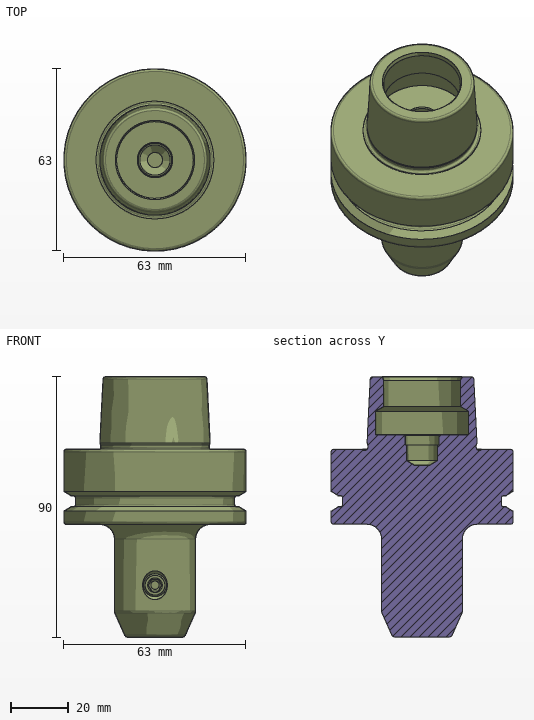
import cadquery as cq
import math

total_height = 90.0
flange_top = 65.0
flange_bottom = 39.0
groove_middle = 47.0
nose_shoulder = 8.7
screw_height = 18.0

taper_end = 67.1
taper_end_radius = 19.1
taper_slope = 0.05
neck_radius = 18.8
neck_top = 66.3
neck_fillet = 0.9
undercut_depth = 0.4
undercut_radius = 20.3

flange_radius = 31.5
groove_floor_radius = 27.5
groove_mouth_width = 6.8
groove_floor_width = 3.7
groove_side_radius = 29.0
groove_fillet = 0.6
rim_fillet = 0.9

nose_radius = 14.0
nose_fillet = 5.0
tip_radius = 10.2
shoulder_fillet = 2.0
tip_fillet = 1.4

bore_mouth_radius = 13.7
bore_radius = 13.2
bore_lead_depth = 1.3
bore_entry_depth = 10.35
bore_relief_radius = 16.0
bore_shoulder_angle = 30
bore_depth = 20.0

step_radius = 5.8
step_chamfer = 0.4
step_depth = 3.6
hole_radius = 5.2
hole_depth = 9.0
hole_end_radius = 2.6
drill_point_angle = 118

screw_radius = 4.0
screw_chamfer = 0.5
screw_recess = 0.2
countersink_radius = 4.95
socket_width = 4.0
socket_mouth_radius = 2.5
socket_depth = 4.5
socket_end_radius = 1.4

axis_start, axis_end = (0, 0, 0), (0, 1, 0)


def revolve_profile(points):
    """Spin a closed (radius, height) outline around the Z axis."""
    return cq.Workplane("XZ").polyline(points).close().revolve(360, axis_start, axis_end)


def round_circles(body, radius, height, fillet):
    """Round the circular edges of the given radius and height."""
    margin = 0.01
    corner = radius + margin
    box = cq.selectors.BoxSelector(
        (-corner, -corner, height - margin), (corner, corner, height + margin), boundingbox=True
    )
    return body.edges(box).edges(cq.selectors.RadiusNthSelector(-1)).fillet(fillet)


def make_body():
    taper_top_radius = taper_end_radius - taper_slope * (total_height - taper_end)
    undercut_floor = flange_top - undercut_depth
    mouth_half = groove_mouth_width / 2
    floor_half = groove_floor_width / 2
    body = revolve_profile([
        (0, 0),
        (tip_radius, 0),
        (nose_radius, nose_shoulder),
        (nose_radius, flange_bottom),
        (flange_radius, flange_bottom),
        (flange_radius, groove_middle - mouth_half),
        (groove_side_radius, groove_middle - floor_half),
        (groove_floor_radius, groove_middle - floor_half),
        (groove_floor_radius, groove_middle + floor_half),
        (groove_side_radius, groove_middle + floor_half),
        (flange_radius, groove_middle + mouth_half),
        (flange_radius, flange_top),
        (undercut_radius, flange_top),
        (undercut_radius, undercut_floor),
        (neck_radius, undercut_floor),
        (neck_radius, neck_top),
        (taper_end_radius, taper_end),
        (taper_top_radius, total_height),
        (0, total_height),
    ])
    roundings = [
        (tip_radius, 0, tip_fillet),
        (nose_radius, nose_shoulder, shoulder_fillet),
        (nose_radius, flange_bottom, nose_fillet),
        (flange_radius, flange_bottom, rim_fillet),
        (groove_floor_radius, groove_middle - floor_half, groove_fillet),
        (groove_floor_radius, groove_middle + floor_half, groove_fillet),
        (flange_radius, flange_top, rim_fillet),
        (neck_radius, undercut_floor, neck_fillet),
        (taper_top_radius, total_height, rim_fillet),
    ]
    for radius, height, fillet in roundings:
        body = round_circles(body, radius, height, fillet)
    return body


def make_bore():
    entry_end = total_height - bore_entry_depth
    shoulder_drop = (bore_relief_radius - bore_radius) * math.tan(math.radians(bore_shoulder_angle))
    relief_top = entry_end - shoulder_drop
    bore_floor = total_height - bore_depth
    step_floor = bore_floor - step_depth
    cone_start = bore_floor - hole_depth
    half_angle = math.radians(drill_point_angle / 2)
    hole_end = cone_start - (hole_radius - hole_end_radius) / math.tan(half_angle)
    return revolve_profile([
        (0, hole_end),
        (hole_end_radius, hole_end),
        (hole_radius, cone_start),
        (hole_radius, step_floor),
        (step_radius, step_floor),
        (step_radius, bore_floor - step_chamfer),
        (step_radius + step_chamfer, bore_floor),
        (bore_relief_radius, bore_floor),
        (bore_relief_radius, relief_top),
        (bore_radius, entry_end),
        (bore_radius, total_height - bore_lead_depth),
        (bore_mouth_radius, total_height),
        (0, total_height),
    ])


def spin_on_screw_axis(points):
    """Spin a closed (radius, distance from the Z axis) outline around the screw axis."""
    outline = [(radius, -distance) for radius, distance in points]
    plane = cq.Plane(origin=(0, 0, screw_height), xDir=(1, 0, 0), normal=(0, 0, 1))
    return cq.Workplane(plane).polyline(outline).close().revolve(360, axis_start, axis_end)


def add_set_screw(body):
    face = nose_radius - screw_recess
    countersink_floor = nose_radius - (countersink_radius - screw_radius)
    countersink = spin_on_screw_axis([
        (0, countersink_floor),
        (screw_radius, countersink_floor),
        (countersink_radius, nose_radius),
        (0, nose_radius),
    ])
    screw = spin_on_screw_axis([
        (0, nose_radius / 2),
        (screw_radius, nose_radius / 2),
        (screw_radius, face - screw_chamfer),
        (screw_radius - screw_chamfer, face),
        (0, face),
    ])
    return body.cut(countersink).union(screw).cut(make_socket(face))


def make_socket(face):
    corner_radius = socket_width / math.sqrt(3)
    cone_floor = face - socket_depth
    cone_top = cone_floor + corner_radius - socket_end_radius
    hexagon = (
        cq.Workplane("XZ", origin=(0, -cone_floor, screw_height))
        .polygon(6, 2 * corner_radius)
        .extrude(socket_depth)
    )
    envelope = spin_on_screw_axis([
        (0, cone_floor),
        (socket_end_radius, cone_floor),
        (corner_radius, cone_top),
        (corner_radius, face),
        (0, face),
    ])
    flat_radius = socket_width / 2
    mouth_floor = face - (socket_mouth_radius - flat_radius)
    mouth = spin_on_screw_axis([
        (0, mouth_floor),
        (flat_radius, mouth_floor),
        (socket_mouth_radius, face),
        (0, face),
    ])
    return hexagon.intersect(envelope).union(mouth)


result = add_set_screw(make_body().cut(make_bore()))